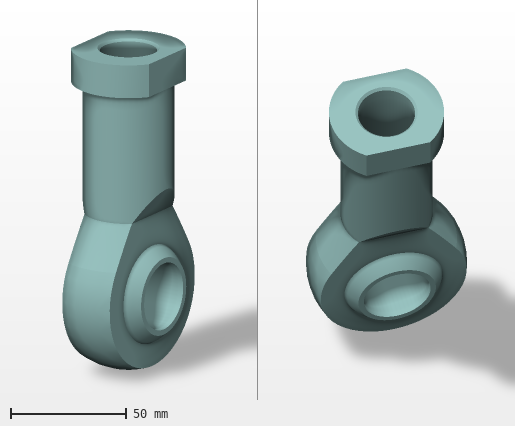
import cadquery as cq
import math

total_length = 145.0
eye_diameter = 70.0
eye_radius = eye_diameter / 2
eye_width = 25.0
top_z = total_length - eye_radius

shank_diameter = 40.0
shank_radius = shank_diameter / 2
collar_diameter = 50.0
collar_flats = 41.0
collar_height = 15.0
neck_z = 36.1
flat_slope_height = 13.0

ball_diameter = 50.8
ball_width = 37.0
bore_diameter = 30.0

socket_diameter = 24.8
socket_mouth_diameter = 27.0
socket_depth = 50.8
drill_point_angle = 118.0


def make_body():
    """Shank, flared neck tangent to a spherical eye, revolved about Z."""
    neck_distance = math.hypot(shank_radius, neck_z)
    tangent_angle = math.atan2(neck_z, shank_radius) - math.acos(eye_radius / neck_distance)
    tangent_point = (eye_radius * math.cos(tangent_angle), eye_radius * math.sin(tangent_angle))
    return (
        cq.Workplane("XZ")
        .moveTo(0, -eye_radius)
        .threePointArc((eye_radius, 0), tangent_point)
        .lineTo(shank_radius, neck_z)
        .lineTo(shank_radius, top_z)
        .lineTo(0, top_z)
        .close()
        .revolve(360, (0, 0, 0), (0, 1, 0))
    )


def make_side_envelope():
    """Flat eye faces whose slopes run on outward past the shank surface."""
    half_eye = eye_width / 2
    slope_rate = flat_slope_height / (shank_radius - half_eye)
    outer_x = collar_diameter / 2
    slope_top = neck_z + slope_rate * (outer_x - half_eye)
    envelope_bottom = -eye_diameter
    return (
        cq.Workplane("XZ")
        .polyline([
            (-half_eye, envelope_bottom),
            (half_eye, envelope_bottom),
            (half_eye, neck_z),
            (outer_x, slope_top),
            (outer_x, total_length),
            (-outer_x, total_length),
            (-outer_x, slope_top),
            (-half_eye, neck_z),
        ])
        .close()
        .extrude(eye_diameter, both=True)
    )


def make_collar():
    """Round collar with two wrench flats facing +X and -X."""
    collar = cq.Workplane("XY").workplane(offset=top_z - collar_height)
    disc = collar.circle(collar_diameter / 2).extrude(collar_height)
    flats = collar.rect(collar_flats, collar_diameter).extrude(collar_height)
    return disc.intersect(flats)


def make_ball():
    """Spherical insert with two flat ends, revolved about the bore axis."""
    ball_radius = ball_diameter / 2
    half_width = ball_width / 2
    end_radius = math.sqrt(ball_radius**2 - half_width**2)
    return (
        cq.Workplane("XY")
        .moveTo(-half_width, 0)
        .lineTo(-half_width, end_radius)
        .threePointArc((0, ball_radius), (half_width, end_radius))
        .lineTo(half_width, 0)
        .close()
        .revolve(360, (0, 0, 0), (1, 0, 0))
    )


def make_bore():
    """Through hole along X from one ball face to the other."""
    end_plane = cq.Workplane("YZ").workplane(offset=-ball_width / 2)
    return end_plane.circle(bore_diameter / 2).extrude(ball_width)


def make_socket():
    """Blind hole from the collar end with a 45 degree mouth and a drill point."""
    socket_radius = socket_diameter / 2
    mouth_radius = socket_mouth_diameter / 2
    mouth_depth = mouth_radius - socket_radius
    point_height = socket_radius / math.tan(math.radians(drill_point_angle / 2))
    floor_z = top_z - socket_depth
    return (
        cq.Workplane("XZ")
        .polyline([
            (0, top_z),
            (mouth_radius, top_z),
            (socket_radius, top_z - mouth_depth),
            (socket_radius, floor_z),
            (0, floor_z - point_height),
        ])
        .close()
        .revolve(360, (0, 0, 0), (0, 1, 0))
    )


rod_end = make_body().intersect(make_side_envelope())
rod_end = rod_end.union(make_collar()).union(make_ball())
result = rod_end.cut(make_bore()).cut(make_socket())